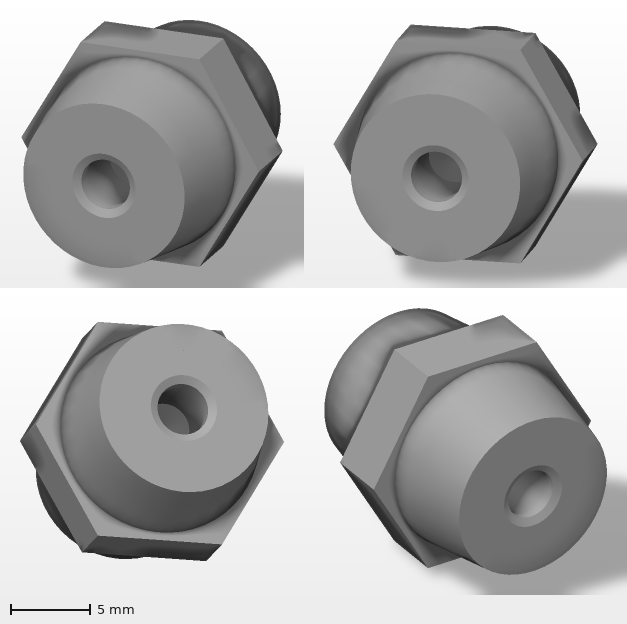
import cadquery as cq

corner_width = 16.17
total_length = 16.0
hex_length = 4.0
cone_base_diameter = 13.0
cone_end_diameter = 11.0

insert_diameter = 7.5
insert_length = 6.0
bore_diameter = 3.3
bore_depth = 5.0
bore_tip_depth = 0.45
bore_mouth_diameter = 4.3
mouth_depth = 0.29

half_length = total_length / 2
half_hex = hex_length / 2
ends = (-1, 1)


def revolve_about_y(points):
    """Revolve a closed outline of (radius, y) points about the Y axis."""
    return cq.Workplane("XY").polyline(points).close().revolve(360, (0, 0, 0), (0, 1, 0))


def make_insert(end):
    """Bushing flush with the end face, with a countersunk blind bore ending in a drill point."""
    face = end * half_length
    inner = face - end * insert_length
    bore_end = face - end * bore_depth
    return revolve_about_y([
        (0, inner),
        (insert_diameter / 2, inner),
        (insert_diameter / 2, face),
        (bore_mouth_diameter / 2, face),
        (bore_diameter / 2, face - end * mouth_depth),
        (bore_diameter / 2, bore_end),
        (0, bore_end - end * bore_tip_depth),
    ])


def make_housing():
    """Hexagonal collar between two tapered ends, with a recess for each insert."""
    body = cq.Workplane("XZ").polygon(6, corner_width).extrude(half_hex, both=True)
    for end in ends:
        taper = revolve_about_y([
            (0, 0),
            (cone_base_diameter / 2, 0),
            (cone_base_diameter / 2, end * half_hex),
            (cone_end_diameter / 2, end * half_length),
            (0, end * half_length),
        ])
        recess = revolve_about_y([
            (0, end * (half_length - insert_length)),
            (insert_diameter / 2, end * (half_length - insert_length)),
            (insert_diameter / 2, end * half_length),
            (0, end * half_length),
        ])
        body = body.union(taper).cut(recess)
    return body


housing = make_housing()
inserts = [make_insert(end) for end in ends]

result = cq.Compound.makeCompound([housing.val(), *[insert.val() for insert in inserts]])